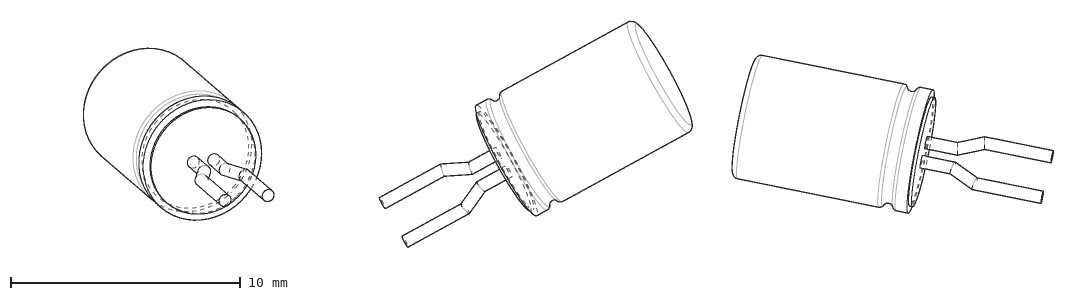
import cadquery as cq
import math


TOTAL_LENGTH = 13.51

CAN_DIAMETER = 5.5
CAN_RADIUS = CAN_DIAMETER / 2
CAN_LENGTH = 7.86
CLOSED_END_FILLET = 0.25

GROOVE_CENTER_X = 6.95
GROOVE_RADIUS = 0.25
SHOULDER_RADIUS = 0.16

SEAL_RADIUS = 2.43
SEAL_THICKNESS = 0.14
SEAL_FACE_X = CAN_LENGTH + SEAL_THICKNESS

LEAD_DIAMETER = 0.55
LEAD_RADIUS = LEAD_DIAMETER / 2
LEAD_INNER_PITCH = 0.95
LEAD_OUTER_PITCH = 2.0
FIRST_BEND_X = 9.4
SECOND_BEND_X = 10.5


def make_can():
    """Solid can, revolved about X, with a rounded closed end and a crimp groove."""
    centre_distance = GROOVE_RADIUS + SHOULDER_RADIUS
    groove_half_width = math.sqrt(centre_distance**2 - SHOULDER_RADIUS**2)
    blend_x = groove_half_width * GROOVE_RADIUS / centre_distance
    blend_y = CAN_RADIUS - SHOULDER_RADIUS * GROOVE_RADIUS / centre_distance

    half_turn = math.asin(groove_half_width / centre_distance) / 2
    shoulder_mid_x = groove_half_width - SHOULDER_RADIUS * math.sin(half_turn)
    shoulder_mid_y = CAN_RADIUS - SHOULDER_RADIUS * (1 - math.cos(half_turn))

    profile = (
        cq.Workplane("XY")
        .moveTo(0, 0)
        .lineTo(0, CAN_RADIUS)
        .lineTo(GROOVE_CENTER_X - groove_half_width, CAN_RADIUS)
        .threePointArc(
            (GROOVE_CENTER_X - shoulder_mid_x, shoulder_mid_y),
            (GROOVE_CENTER_X - blend_x, blend_y),
        )
        .threePointArc(
            (GROOVE_CENTER_X, CAN_RADIUS - GROOVE_RADIUS),
            (GROOVE_CENTER_X + blend_x, blend_y),
        )
        .threePointArc(
            (GROOVE_CENTER_X + shoulder_mid_x, shoulder_mid_y),
            (GROOVE_CENTER_X + groove_half_width, CAN_RADIUS),
        )
        .lineTo(CAN_LENGTH, CAN_RADIUS)
        .lineTo(CAN_LENGTH, 0)
        .close()
    )
    can = profile.revolve(360, (0, 0, 0), (1, 0, 0))
    return can.faces("<X").edges().fillet(CLOSED_END_FILLET)


def make_seal():
    """Disc seated on the open end face of the can."""
    return cq.Workplane("YZ", origin=(CAN_LENGTH, 0, 0)).circle(SEAL_RADIUS).extrude(SEAL_THICKNESS)


def make_lead(side):
    """Round wire starting on the seal face; side is +1 or -1 along Y."""
    inner_y = side * LEAD_INNER_PITCH / 2
    outer_y = side * LEAD_OUTER_PITCH / 2
    path = cq.Workplane("XY").polyline(
        [
            (SEAL_FACE_X, inner_y),
            (FIRST_BEND_X, inner_y),
            (SECOND_BEND_X, outer_y),
            (TOTAL_LENGTH, outer_y),
        ]
    )
    section = cq.Workplane("YZ", origin=(SEAL_FACE_X, inner_y, 0)).circle(LEAD_RADIUS)
    return section.sweep(path, transition="right")


can = make_can()
seal = make_seal()
leads = [make_lead(side) for side in (1, -1)]

result = cq.Compound.makeCompound([can.val(), seal.val(), *[lead.val() for lead in leads]])